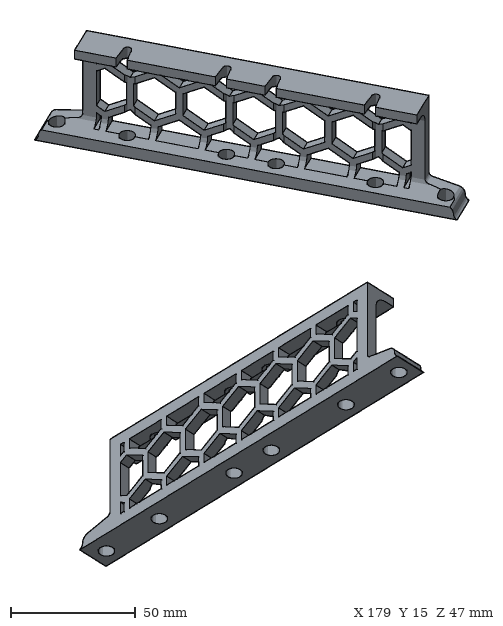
import cadquery as cq
import math

length = 179.0
depth = 15.0
height = 47.0

base_thickness = 5.5
lip_thickness = 4.3
web_thickness = 5.0
corner_radius = 5.0
web_face = depth - web_thickness

web_width = 145.0
ramp_angle = math.radians(11)
ramp_end_x = 85.4
ramp_end_height = 6.0
ramp_blend_radius = 1.8
nose_x = 87.9
nose_height = 2.7
shoulder_bulge = 0.7
flare_bulge = 0.43

middle_row_cells = 7
middle_row_span = 147.1
cell_pitch = middle_row_span / middle_row_cells
strut_width = 3.0
window_border = 5.9
hexagon_half_angle = math.radians(30)
cells_per_row = middle_row_cells + 2

hole_y = 7.0
hole_diameter = 6.6
end_hole_x = 82.3
clearance_diameter = 7.5
clearance_top_gap = 5.4
slot_end_y = 7.3
slot_end_diameter = 3.4
slot_mouth_width = 4.7
access_x = [side * cells * cell_pitch for side in (-1, 1) for cells in (0.5, 2.5)]


def bulge_point(start, end, bulge):
    """Midpoint of a chord, moved by the bulge to the left of its direction."""
    run = end[0] - start[0]
    rise = end[1] - start[1]
    chord = math.hypot(run, rise)
    middle_x = (start[0] + end[0]) / 2 - bulge * rise / chord
    middle_z = (start[1] + end[1]) / 2 + bulge * run / chord
    return (middle_x, middle_z)


def c_section():
    """C-shaped section along X, with rounded inner corners."""
    return (
        cq.Workplane("YZ")
        .moveTo(0, 0)
        .lineTo(depth, 0)
        .lineTo(depth, height)
        .lineTo(0, height)
        .lineTo(0, height - lip_thickness)
        .lineTo(web_face - corner_radius, height - lip_thickness)
        .radiusArc((web_face, height - lip_thickness - corner_radius), corner_radius)
        .lineTo(web_face, base_thickness + corner_radius)
        .radiusArc((web_face - corner_radius, base_thickness), corner_radius)
        .lineTo(0, base_thickness)
        .close()
        .extrude(length / 2, both=True)
    )


def half_silhouette():
    """Right half of the front outline: flared nose, shoulder, ramp and upright."""
    web_x = web_width / 2
    tip = (length / 2, 0)
    nose = (nose_x, nose_height)
    ramp_end = (ramp_end_x, ramp_end_height)
    ramp_top = (web_x, ramp_end_height + (ramp_end_x - web_x) * math.tan(ramp_angle))
    outline = (
        cq.Workplane("XZ")
        .moveTo(0, 0)
        .lineTo(*tip)
        .threePointArc(bulge_point(tip, nose, flare_bulge), nose)
        .threePointArc(bulge_point(nose, ramp_end, -shoulder_bulge), ramp_end)
        .lineTo(*ramp_top)
        .lineTo(web_x, height)
        .lineTo(0, height)
        .close()
        .extrude(-depth)
    )
    foot_edge = cq.selectors.NearestToPointSelector((web_x, depth / 2, ramp_top[1]))
    return outline.edges(foot_edge).fillet(ramp_blend_radius)


def honeycomb_openings():
    """Three rows of hexagonal cells with upright sides, trimmed to the rectangular window."""
    cell_across_corners = (cell_pitch - strut_width) / math.cos(hexagon_half_angle)
    row_pitch = cell_pitch * math.cos(hexagon_half_angle)
    centres = []
    for row in (-1, 0, 1):
        row_shift = cell_pitch / 2 * (row % 2)
        for column in range(cells_per_row):
            x = (column - (cells_per_row - 1) / 2) * cell_pitch + row_shift
            centres.append((row * row_pitch, x))
    cells = (
        cq.Workplane("XY")
        .pushPoints(centres)
        .polygon(6, cell_across_corners)
        .extrude(depth)
        .rotate((0, 0, 0), (0, 0, 1), 90)
        .rotate((0, 0, 0), (1, 0, 0), 90)
        .translate((0, depth, height / 2))
    )
    window = (
        cq.Workplane("XY")
        .box(web_width - 2 * window_border, depth, height - 2 * window_border)
        .translate((0, depth / 2, height / 2))
    )
    return cells.intersect(window)


def base_holes():
    """Screw holes through the base, two of them in the end ramps."""
    places = [(x, hole_y) for x in access_x + [-end_hole_x, end_hole_x]]
    hole_depth = height / 2
    return cq.Workplane("XY").pushPoints(places).circle(hole_diameter / 2).extrude(hole_depth)


def clearance_grooves():
    """Round grooves along the web, clear above the screws up to just below the lip."""
    return (
        cq.Workplane("XY", origin=(0, 0, window_border))
        .pushPoints([(x, hole_y) for x in access_x])
        .circle(clearance_diameter / 2)
        .extrude(height - clearance_top_gap - window_border)
    )


def lip_slot(x):
    """Round-ended slot through the lip, widening towards its open front."""
    end_radius = slot_end_diameter / 2
    return (
        cq.Workplane("XY", origin=(x, 0, height / 2))
        .moveTo(-slot_mouth_width / 2, 0)
        .lineTo(slot_mouth_width / 2, 0)
        .lineTo(end_radius, slot_end_y)
        .threePointArc((0, slot_end_y + end_radius), (-end_radius, slot_end_y))
        .close()
        .extrude(height / 2)
    )


right_half = half_silhouette()
silhouette = right_half.union(right_half.mirror("YZ"))

result = (
    c_section()
    .intersect(silhouette)
    .cut(honeycomb_openings())
    .cut(base_holes())
    .cut(clearance_grooves())
)
for slot_x in access_x:
    result = result.cut(lip_slot(slot_x))